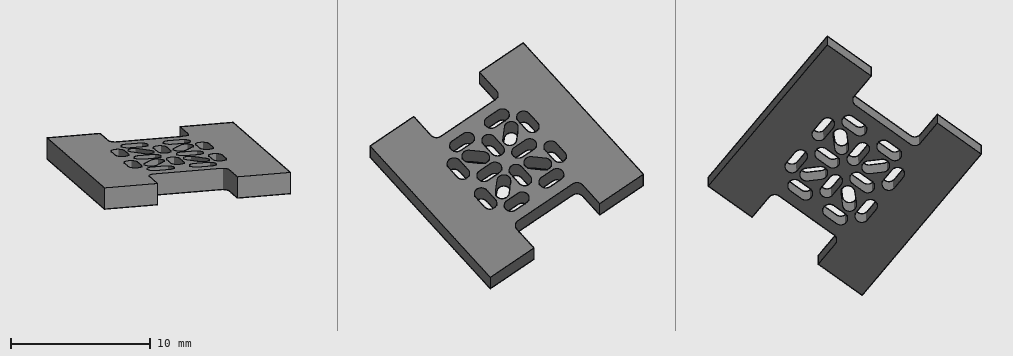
import cadquery as cq

side = 14.0
thickness = 1.6

notch_depth = 2.5
notch_width = 6.0
notch_corner_radius = 0.5

slot_length = 2.0
slot_width = 1.0
slot_pitch = 3.18
half_pitch = slot_pitch / 2


def slots(centers, angle):
    """Cutters for equal slots, turned by an angle from the X axis."""
    return (
        cq.Workplane("XY")
        .pushPoints(centers)
        .slot2D(slot_length, slot_width, angle)
        .extrude(thickness)
    )


def notched_plate():
    """Square plate with a rounded-corner notch in each X side."""
    plate = cq.Workplane("XY").rect(side, side).extrude(thickness)
    notches = (
        cq.Workplane("XY")
        .pushPoints([(-side / 2, 0), (side / 2, 0)])
        .rect(2 * notch_depth, notch_width)
        .extrude(thickness)
        .edges("|Z")
        .fillet(notch_corner_radius)
    )
    return plate.cut(notches)


along_x = [(x, y) for x in (-half_pitch, half_pitch) for y in (-slot_pitch, 0, slot_pitch)]
along_y = [(y, x) for x, y in along_x]

rising = [(-half_pitch, -half_pitch), (half_pitch, half_pitch)]
falling = [(-half_pitch, half_pitch), (half_pitch, -half_pitch)]

result = notched_plate()
for centers, angle in ((along_x, 0), (along_y, 90), (rising, 45), (falling, -45)):
    result = result.cut(slots(centers, angle))